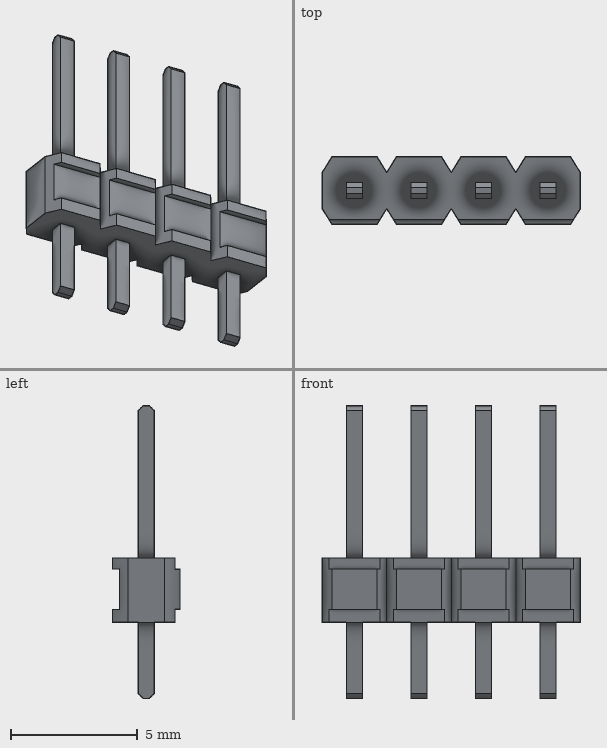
import cadquery as cq

pin_count = 4
body_length = 10.17
body_depth = 2.67
body_height = 2.54

bevel_x = 0.38
bevel_y = 0.61

upper_band = 0.44
lower_band = 0.51
front_step = 0.2
rear_groove = 0.28

pin_width = 0.63
pin_above = 6.0
pin_below = 3.0
tip_bevel = 0.2

pitch = body_length / pin_count
front_y = -body_depth / 2
rear_y = body_depth / 2
band_gap = body_height - upper_band - lower_band
pin_length = pin_below + body_height + pin_above
cell_centers = [(i - (pin_count - 1) / 2) * pitch for i in range(pin_count)]


def cell(center_x):
    """One octagonal housing cell standing on the XY plane."""
    half = pitch / 2
    outline = [
        (-half + bevel_x, front_y),
        (half - bevel_x, front_y),
        (half, front_y + bevel_y),
        (half, rear_y - bevel_y),
        (half - bevel_x, rear_y),
        (-half + bevel_x, rear_y),
        (-half, rear_y - bevel_y),
        (-half, front_y + bevel_y),
    ]
    return cq.Workplane("XY").polyline(outline).close().extrude(body_height).translate((center_x, 0, 0))


def full_length_cut(y_start, y_depth, z_start, z_height):
    """A rectangular bar spanning the whole housing along X."""
    bar = cq.Workplane("XY").box(body_length, y_depth, z_height, centered=(True, False, False))
    return bar.translate((0, y_start, z_start))


def pin(center_x):
    """One pin running through the housing, with both tips bevelled along X."""
    blank = cq.Workplane("XY").box(pin_width, pin_width, pin_length, centered=(True, True, False))
    bevelled = blank.faces("<Z or >Z").edges("|X").chamfer(tip_bevel)
    return bevelled.translate((center_x, 0, -pin_below))


housing = cell(cell_centers[0])
for x in cell_centers[1:]:
    housing = housing.union(cell(x))

housing = housing.cut(full_length_cut(front_y, front_step, 0, lower_band))
housing = housing.cut(full_length_cut(front_y, front_step, body_height - upper_band, upper_band))

housing = housing.cut(full_length_cut(rear_y - rear_groove, rear_groove, lower_band, band_gap))

result = housing
for x in cell_centers:
    result = result.union(pin(x))